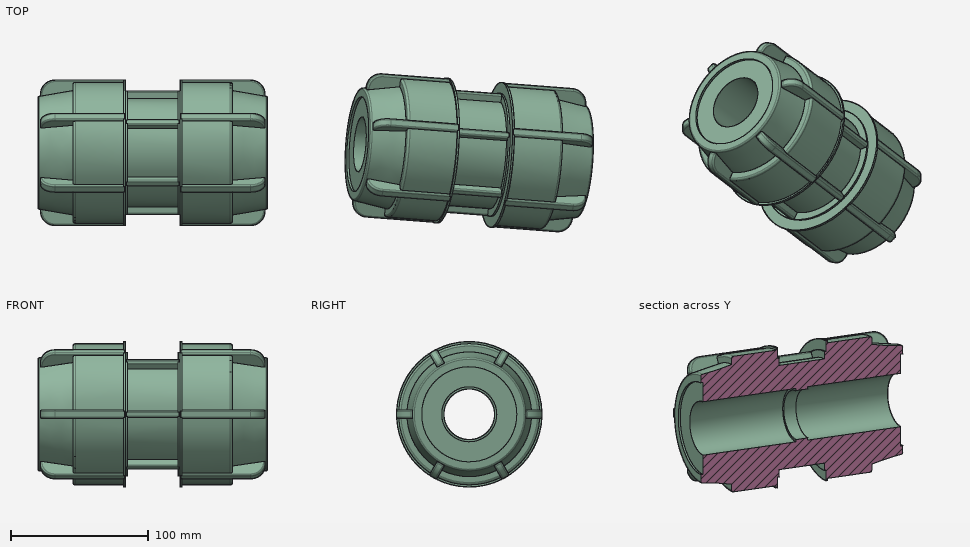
import cadquery as cq
length = 167.0
half_length = length / 2

end_radius = 41.2
end_round = 1.2
cone_radius = 45.5
shoulder_place = 25.4
body_radius = 51.5
body_round = 1.7
flange_place = 62.1
flange_thickness = 1.5
flange_diameter = 106.0
flange_radius = flange_diameter / 2

collar_radius = 45.1
collar_thickness = 1.3
barrel_radius = 39.5
collar_place = flange_place + flange_thickness
collar_end = collar_place + collar_thickness

bore_diameter = 36.7
socket_diameter = 40.0
stop_length = 10.0
recess_diameter = 69.3
recess_depth = 1.7

rib_count = 6
rib_round = 1.2
nut_rib_width = 6.2
nut_rib_start = 1.7
nut_rib_corner = 10.5
barrel_rib_width = 5.0
rib_root_radius = 33.4


def revolve_about_x(profile):
    return profile.close().revolve(360, (0, 0, 0), (1, 0, 0))


def both_ends(shape):
    return shape.union(shape.mirror("YZ"))


def nut():
    """Solid nut at the -X end: rounded lip, cone, cylindrical body and flange."""
    x_end = -half_length
    x_shoulder = x_end + shoulder_place
    x_flange = x_end + flange_place
    x_collar = x_end + collar_place
    profile = (
        cq.Workplane("XY")
        .moveTo(x_end, 0)
        .lineTo(x_end, end_radius - end_round)
        .radiusArc((x_end + end_round, end_radius), end_round)
        .lineTo(x_shoulder, cone_radius)
        .lineTo(x_shoulder, body_radius - body_round)
        .radiusArc((x_shoulder + body_round, body_radius), body_round)
        .lineTo(x_flange, body_radius)
        .lineTo(x_flange, flange_radius)
        .lineTo(x_collar, flange_radius)
        .lineTo(x_collar, 0)
    )
    return revolve_about_x(profile)


def barrel():
    """Middle barrel with a collar against each nut."""
    x_outer = half_length - collar_place
    x_inner = half_length - collar_end
    profile = (
        cq.Workplane("XY")
        .moveTo(-x_outer, 0)
        .lineTo(-x_outer, collar_radius)
        .lineTo(-x_inner, collar_radius)
        .lineTo(-x_inner, barrel_radius)
        .lineTo(x_inner, barrel_radius)
        .lineTo(x_inner, collar_radius)
        .lineTo(x_outer, collar_radius)
        .lineTo(x_outer, 0)
    )
    return revolve_about_x(profile)


def nut_rib():
    """Rib along the -X nut into its flange, with a quarter-round outer corner and rounded edges."""
    x_start = -half_length + nut_rib_start
    x_stop = -half_length + flange_place + flange_thickness / 2
    rib = (
        cq.Workplane("XY")
        .moveTo(x_start, rib_root_radius)
        .lineTo(x_start, flange_radius - nut_rib_corner)
        .radiusArc((x_start + nut_rib_corner, flange_radius), nut_rib_corner)
        .lineTo(x_stop, flange_radius)
        .lineTo(x_stop, rib_root_radius)
        .close()
        .extrude(nut_rib_width / 2, both=True)
    )
    return rib.faces(">Y").edges("|X").fillet(rib_round)


def barrel_rib():
    """Rib along the middle barrel, level with the collars and ending inside them."""
    rib_length = length - 2 * collar_end + collar_thickness
    rib_height = collar_radius - rib_root_radius
    rib = (
        cq.Workplane("XY")
        .box(rib_length, rib_height, barrel_rib_width)
        .translate((0, rib_root_radius + rib_height / 2, 0))
    )
    return rib.faces(">Y").edges("|X").fillet(rib_round)


def socket(diameter, depth):
    """Cylinder entering from the -X end."""
    return cq.Workplane("YZ", origin=(-half_length, 0, 0)).circle(diameter / 2).extrude(depth)


result = both_ends(nut()).union(barrel())

rib_row = both_ends(nut_rib()).union(barrel_rib())
for index in range(rib_count):
    result = result.union(rib_row.rotate((0, 0, 0), (1, 0, 0), index * 360 / rib_count))

socket_depth = half_length - stop_length / 2
result = result.cut(socket(bore_diameter, length))
result = result.cut(both_ends(socket(socket_diameter, socket_depth)))
result = result.cut(both_ends(socket(recess_diameter, recess_depth)))